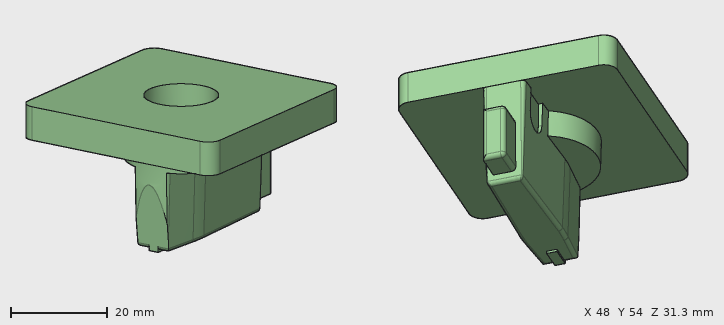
import cadquery as cq

overall_length = 54.0
plate_side = 48.0
plate_thickness = 7.3
plate_corner_radius = 3.0
hole_diameter = 15.5

boss_radius = 12.05
boss_bottom_z = -13.35
boss_draft_degrees = 1.5

shank_bottom_z = -30.8
shank_top_half_width = 5.45
shank_bottom_half_width = 4.7
shank_back_y = 23.05
shank_back_narrowing = 0.75
shank_top_back_round = 0.9
shank_bottom_back_round = 0.2
flank_bend_start_y = 1.35
flank_bend_end_y = -2.4
flank_end_y = -10.5
nose_top_half_width = 4.5
nose_bottom_half_width = 3.85
nose_tip_half_width = 3.8
nose_tip_y = -11.45
nose_overrun_y = -12.4
bottom_round = 0.85

slope_top_y = -11.8
slope_top_z = -16.25
slope_bottom_y = -10.2

nib_width = 2.25
nib_back_y = -5.15
nib_bottom_z = -31.3

tab_width = 4.95
tab_end_y = overall_length - plate_side / 2
tab_top_z = -16.25
tab_bottom_z = -28.7
tab_round = 0.95
tab_root_y = 18.9

recess_width = 6.35
recess_y = 17.3
recess_bottom_z = -15.9
recess_floor_x = 4.05

plate_bottom_z = -plate_thickness
selection_margin = 0.55


def make_plate():
    plate = cq.Workplane("XY").box(plate_side, plate_side, plate_thickness, centered=(True, True, False))
    return plate.translate((0, 0, plate_bottom_z)).edges("|Z").fillet(plate_corner_radius)


def make_cone(bottom_z):
    height = plate_bottom_z - bottom_z
    return (
        cq.Workplane("XY", origin=(0, 0, plate_bottom_z))
        .circle(boss_radius)
        .extrude(-height, taper=boss_draft_degrees)
    )


def add_shank_outline(plane, half_width, nose_half_width, back_round):
    """Draw one level of the shank; its widest place is where the flank bends inward to the nose."""
    back_half_width = half_width - shank_back_narrowing
    back_slope = shank_back_narrowing / (shank_back_y - flank_bend_start_y)
    back_end_x = back_half_width - back_round
    back_end_y = shank_back_y + back_round
    bend_length = flank_bend_start_y - flank_bend_end_y
    bend_mid_y = flank_bend_start_y - bend_length / 2
    slope = (half_width - nose_half_width) / (bend_mid_y - flank_end_y)
    bend_end_x = half_width - slope * bend_length / 2
    bend_tangents = [(back_slope, -1), (-slope, -1)]
    return_tangents = [(-slope, 1), (back_slope, 1)]
    return (
        plane.moveTo(-back_half_width, shank_back_y)
        .radiusArc((-back_end_x, back_end_y), back_round)
        .lineTo(back_end_x, back_end_y)
        .radiusArc((back_half_width, shank_back_y), back_round)
        .lineTo(half_width, flank_bend_start_y)
        .spline([(bend_end_x, flank_bend_end_y)], tangents=bend_tangents, includeCurrent=True)
        .lineTo(nose_half_width, flank_end_y)
        .lineTo(nose_tip_half_width, nose_tip_y)
        .lineTo(nose_tip_half_width, nose_overrun_y)
        .lineTo(-nose_tip_half_width, nose_overrun_y)
        .lineTo(-nose_tip_half_width, nose_tip_y)
        .lineTo(-nose_half_width, flank_end_y)
        .lineTo(-bend_end_x, flank_bend_end_y)
        .spline([(-half_width, flank_bend_start_y)], tangents=return_tangents, includeCurrent=True)
        .close()
    )


def make_shank():
    top = add_shank_outline(
        cq.Workplane("XY", origin=(0, 0, plate_bottom_z)),
        shank_top_half_width,
        nose_top_half_width,
        shank_top_back_round,
    )
    both = add_shank_outline(
        top.workplane(offset=shank_bottom_z - plate_bottom_z),
        shank_bottom_half_width,
        nose_bottom_half_width,
        shank_bottom_back_round,
    )
    shank = both.loft(ruled=True)
    back_part = cq.Workplane("XY").box(plate_side, plate_side, -2 * shank_bottom_z, centered=(True, False, True))
    return shank.intersect(make_cone(shank_bottom_z).union(back_part))


def slope_y(z):
    run = (slope_bottom_y - slope_top_y) / (slope_top_z - shank_bottom_z)
    return slope_top_y + run * (slope_top_z - z)


def make_slope_cutter():
    return (
        cq.Workplane("YZ")
        .polyline([
            (slope_y(plate_bottom_z), plate_bottom_z),
            (slope_y(nib_bottom_z), nib_bottom_z),
            (-plate_side, nib_bottom_z),
            (-plate_side, plate_bottom_z),
        ])
        .close()
        .extrude(plate_side / 2, both=True)
    )


def round_shank_bottom(shank):
    """Break the lower edges of the flanks and nose."""
    edges = shank.faces("<Z").edges(cq.selectors.BoxSelector(
        (-plate_side, nose_overrun_y, shank_bottom_z - selection_margin),
        (plate_side, shank_back_y - selection_margin, shank_bottom_z + selection_margin),
    ))
    return edges.fillet(bottom_round)


def make_nib():
    return (
        cq.Workplane("YZ")
        .polyline([
            (nib_back_y, nib_bottom_z),
            (slope_y(nib_bottom_z), nib_bottom_z),
            (slope_y(shank_bottom_z + bottom_round), shank_bottom_z + bottom_round),
            (nib_back_y, shank_bottom_z + bottom_round),
        ])
        .close()
        .extrude(nib_width / 2, both=True)
    )


def make_tab():
    tab = cq.Workplane("XY").box(
        tab_width, tab_end_y - tab_root_y, tab_top_z - tab_bottom_z, centered=(True, False, False)
    )
    return tab.translate((0, tab_root_y, tab_bottom_z)).edges("(|Y and <X) or >Y").fillet(tab_round)


def make_recess(side):
    radius = recess_width / 2
    center_z = recess_bottom_z + radius
    return (
        cq.Workplane("YZ", origin=(side * recess_floor_x, 0, 0))
        .moveTo(recess_y - radius, plate_bottom_z)
        .lineTo(recess_y - radius, center_z)
        .threePointArc((recess_y, recess_bottom_z), (recess_y + radius, center_z))
        .lineTo(recess_y + radius, plate_bottom_z)
        .close()
        .extrude(side * shank_top_half_width)
    )


shank = round_shank_bottom(make_shank().cut(make_slope_cutter()))
for side in (-1, 1):
    shank = shank.cut(make_recess(side))

plate = make_plate().faces(">Z").workplane().hole(hole_diameter, plate_thickness)
result = plate.union(make_cone(boss_bottom_z)).union(shank).union(make_nib()).union(make_tab())